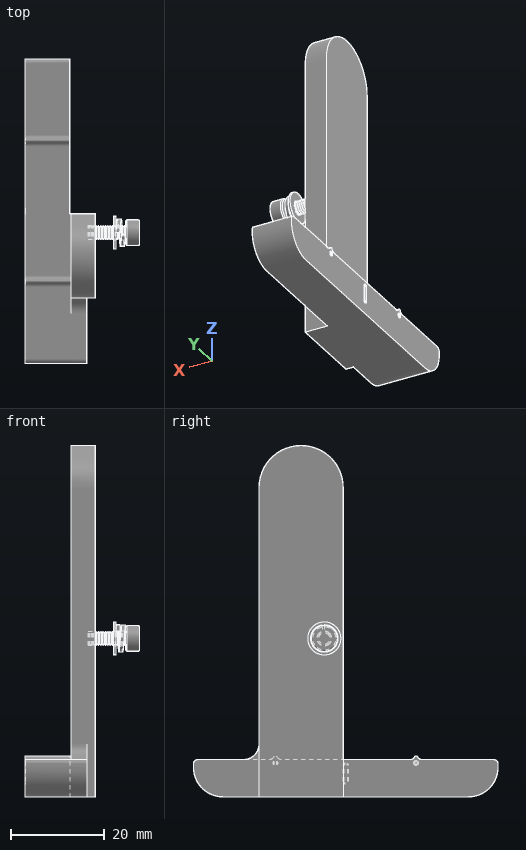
import cadquery as cq
import math


shelf_length = 65.0
shelf_height = 8.0
shelf_depth = 9.6
shelf_step_depth = 13.2
shelf_top_radius = 1.0
shelf_bottom_radius = 6.4

ridge_offset = 15.0
ridge_height = 0.75
ridge_crest_radius = 0.4
ridge_foot_radius = 1.0
ridge_mark_radius = 0.5
ridge_mark_drop = 0.75

engraving_width = 0.2
engraving_depth = 0.1
slot_length = 4.6
slot_width = 1.1
slot_drop = 3.0

total_height = 75.0
arm_width = 18.0
arm_center_y = -9.5
arm_near_x = 9.8
arm_far_x = 15.0
arm_fillet_radius = 3.2
arm_top_radius = arm_width / 2
arm_left_y = arm_center_y + arm_width / 2
arm_right_y = arm_center_y - arm_width / 2

screw_y = -4.6
screw_z = 33.8
total_depth = 24.45
head_height = 3.0
head_radius = 2.8
head_top_fillet = 0.4
head_bottom_chamfer = 0.3
head_base_x = total_depth - head_height
thread_radius = 1.5
thread_depth = 0.3
thread_pitch = 0.5
thread_turns = 16
tip_x = head_base_x - thread_turns * thread_pitch

washer_bore_radius = 1.6
flat_washer_radius = 3.5
flat_washer_thickness = 0.49
lock_washer_radius = 2.9
lock_washer_thickness = 0.8
lock_washer_free_height = 2.0
lock_washer_gap_angle = 10.0
lock_washer_x = head_base_x - lock_washer_free_height
flat_washer_x = lock_washer_x - flat_washer_thickness


def side_plane(x):
    """Sketch plane facing +X, with sketch axes along Y and Z."""
    return cq.Workplane("YZ", origin=(x, 0, 0))


def screw_axis_plane(x):
    """Sketch plane facing +X, centred on the screw axis."""
    return cq.Workplane("YZ", origin=(x, screw_y, screw_z))


def make_shelf():
    """Long bar with rounded ends, deeper on the arm's filleted side."""
    bar = (
        side_plane(0)
        .center(0, shelf_height / 2)
        .rect(shelf_length, shelf_height)
        .extrude(shelf_step_depth)
    )
    bar = bar.edges("|X and >Z").fillet(shelf_top_radius)
    bar = bar.edges("|X and <Z").fillet(shelf_bottom_radius)
    plain_side = cq.Workplane().box(
        shelf_step_depth - shelf_depth,
        shelf_length / 2 - arm_left_y,
        shelf_height,
        centered=False,
    ).translate((shelf_depth, arm_left_y, 0))
    return bar.cut(plain_side)


def make_ridge(y, depth):
    """Rounded crest running into the shelf top through concave feet."""
    center_gap = ridge_foot_radius + ridge_crest_radius
    crest_center = ridge_height - ridge_crest_radius
    rise = ridge_foot_radius - crest_center
    half_width = math.sqrt(center_gap**2 - rise**2)
    join_y = half_width * ridge_crest_radius / center_gap
    join_z = crest_center + rise * ridge_crest_radius / center_gap
    foot_angle = math.atan2(half_width, rise) / 2
    foot_mid_y = half_width - ridge_foot_radius * math.sin(foot_angle)
    foot_mid_z = ridge_foot_radius * (1 - math.cos(foot_angle))
    return (
        cq.Workplane("YZ", origin=(0, y, shelf_height))
        .moveTo(-half_width, 0)
        .threePointArc((-foot_mid_y, foot_mid_z), (-join_y, join_z))
        .threePointArc((0, ridge_height), (join_y, join_z))
        .threePointArc((foot_mid_y, foot_mid_z), (half_width, 0))
        .close()
        .extrude(depth)
    )


def make_ridge_mark(y):
    """Engraved ring below a ridge."""
    return (
        side_plane(0)
        .center(y, shelf_height - ridge_mark_drop)
        .circle(ridge_mark_radius)
        .circle(ridge_mark_radius - engraving_width)
        .extrude(engraving_depth)
    )


def make_slot_mark():
    """Engraved slot outline in the middle of the shelf."""
    sketch = side_plane(0).center(0, shelf_height - slot_drop)
    outer = sketch.slot2D(slot_length, slot_width, 90).extrude(engraving_depth)
    inner = sketch.slot2D(
        slot_length - 2 * engraving_width, slot_width - 2 * engraving_width, 90
    ).extrude(engraving_depth)
    return outer.cut(inner)


def make_arm():
    """Upright plate with a full-round top."""
    shoulder_z = total_height - arm_top_radius
    return (
        side_plane(arm_near_x)
        .moveTo(arm_left_y, 0)
        .lineTo(arm_left_y, shoulder_z)
        .threePointArc((arm_center_y, total_height), (arm_right_y, shoulder_z))
        .lineTo(arm_right_y, 0)
        .close()
        .extrude(arm_far_x - arm_near_x)
    )


def make_arm_fillet():
    """Concave web between the arm's edge and the shelf top."""
    reach = arm_fillet_radius * (1 - math.sqrt(0.5))
    return (
        side_plane(arm_near_x)
        .moveTo(arm_right_y, shelf_height)
        .lineTo(arm_right_y, shelf_height + arm_fillet_radius)
        .threePointArc(
            (arm_right_y - reach, shelf_height + reach),
            (arm_right_y - arm_fillet_radius, shelf_height),
        )
        .close()
        .extrude(shelf_step_depth - arm_near_x)
    )


def make_bracket():
    """Shelf and arm in one piece, with ridges, engraved marks and a screw hole."""
    bracket = make_shelf().union(make_arm()).union(make_arm_fillet())
    for y, depth in ((ridge_offset, shelf_depth), (-ridge_offset, arm_near_x)):
        bracket = bracket.union(make_ridge(y, depth))
    for y in (-ridge_offset, ridge_offset):
        bracket = bracket.cut(make_ridge_mark(y))
    bracket = bracket.cut(make_slot_mark())
    screw_hole = screw_axis_plane(tip_x).circle(thread_radius).extrude(arm_far_x - tip_x)
    return bracket.cut(screw_hole)


def make_screw():
    """Cap screw whose thread is a row of V-shaped rings."""
    root_radius = thread_radius - thread_depth
    profile = cq.Workplane("XY", origin=(0, screw_y, screw_z)).moveTo(tip_x, 0).lineTo(tip_x, root_radius)
    for turn in range(thread_turns):
        start_x = tip_x + turn * thread_pitch
        profile = profile.lineTo(start_x + thread_pitch / 2, thread_radius)
        profile = profile.lineTo(start_x + thread_pitch, root_radius)
    shank = profile.lineTo(head_base_x, 0).close().revolve(360, (0, 0, 0), (1, 0, 0))
    head = screw_axis_plane(head_base_x).circle(head_radius).extrude(head_height)
    head = head.faces(">X").edges().fillet(head_top_fillet)
    head = head.faces("<X").edges().chamfer(head_bottom_chamfer)
    return head.union(shank)


def make_flat_washer():
    """Plain ring under the lock washer."""
    return (
        screw_axis_plane(flat_washer_x)
        .circle(flat_washer_radius)
        .circle(washer_bore_radius)
        .extrude(flat_washer_thickness)
    )


def make_lock_washer():
    """Split spring washer: one left-handed turn of rectangular section, split at the top."""
    rise_per_turn = lock_washer_free_height - lock_washer_thickness
    pitch = rise_per_turn / (1 - lock_washer_gap_angle / 360)
    mean_radius = (lock_washer_radius + washer_bore_radius) / 2
    path = cq.Wire.makeHelix(pitch, rise_per_turn, mean_radius, lefthand=True)
    coil = (
        cq.Workplane("XZ")
        .center(mean_radius, lock_washer_thickness / 2)
        .rect(lock_washer_radius - washer_bore_radius, lock_washer_thickness)
        .sweep(cq.Workplane(path), isFrenet=True)
    )
    seat = cq.Plane(origin=(lock_washer_x, screw_y, screw_z), xDir=(0, 0, 1), normal=(1, 0, 0))
    return cq.Workplane(coil.val().moved(cq.Location(seat)))


bracket = make_bracket()
screw = make_screw()
flat_washer = make_flat_washer()
lock_washer = make_lock_washer()
bodies = [bracket, screw, flat_washer, lock_washer]

result = cq.Compound.makeCompound([body.solids().val() for body in bodies])